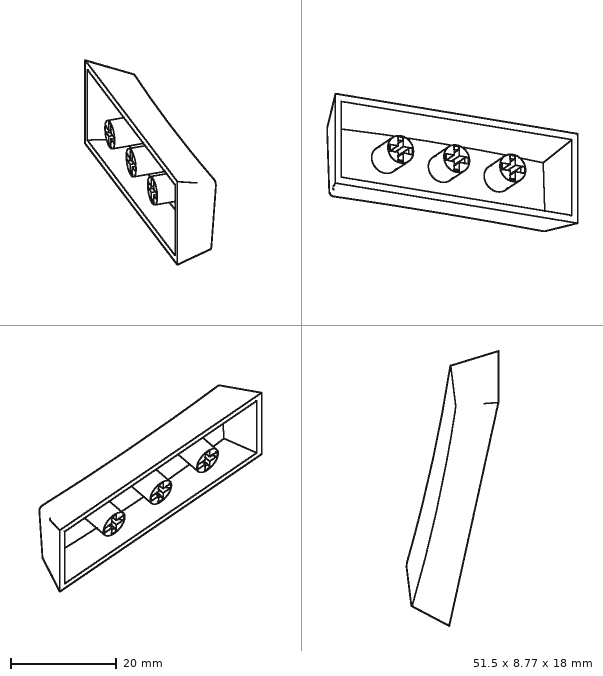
import cadquery as cq
import math

LENGTH = 51.5
WIDTH = 18.0

CROWN_LENGTH = 46.35
CROWN_TOP_EDGE = (8.8, 5.95)
CROWN_BOTTOM_EDGE = (7.8, -8.75)
CROWN_CORNER_RADIUS = 0.95
RIM_CORNER_RADIUS = 0.025
DISH_DEPTH = 0.65

END_WALL = 1.3
SIDE_WALL = 1.4
FLOOR_LENGTH = 44.3
FLOOR_TOP_EDGE = (7.55, 5.0)
FLOOR_BOTTOM_EDGE = (6.75, -7.5)

STEM_COUNT = 3
STEM_SPACING = 11.9
STEM_CENTER_Z = -0.05
STEM_RADIUS = 2.75
SOCKET_SPAN = 3.95
SOCKET_BAR_WIDTH = 1.3
SOCKET_POST_WIDTH = 1.15
SOCKET_BEVEL = 0.5

RIM_PLANE = cq.Plane(origin=(0, 0, 0), xDir=(1, 0, 0), normal=(0, -1, 0))


def rounded_rectangle(length, width, corner_radius):
    sketch = cq.Sketch().rect(length, width)
    if corner_radius > 0:
        sketch = sketch.vertices().fillet(corner_radius)
    return sketch


def tilted_plane(top_edge, bottom_edge):
    """Plane through two X-parallel edges, facing the rim, with local Y toward the top edge."""
    top_y, top_z = top_edge
    bottom_y, bottom_z = bottom_edge
    center = (0, (top_y + bottom_y) / 2, (top_z + bottom_z) / 2)
    return cq.Plane(origin=center, xDir=(1, 0, 0), normal=(0, bottom_z - top_z, top_y - bottom_y))


def dished_frustum(rim_size, rim_radius, end_length, top_edge, bottom_edge, end_radius=0.0):
    """Flat-sided taper from the rim to a tilted end face, which is dished along its length."""
    end_plane = tilted_plane(top_edge, bottom_edge)
    end_width = math.dist(top_edge, bottom_edge)
    rim = rounded_rectangle(*rim_size, rim_radius).moved(cq.Location(RIM_PLANE))
    end = rounded_rectangle(end_length, end_width, end_radius).moved(cq.Location(end_plane))
    frustum = cq.Workplane().placeSketch(rim, end).loft(ruled=True)

    dish_plane = cq.Plane(origin=end_plane.origin, xDir=(1, 0, 0), normal=end_plane.yDir)
    dish = (
        cq.Workplane(dish_plane)
        .moveTo(-end_length / 2, 0)
        .threePointArc((0, -DISH_DEPTH), (end_length / 2, 0))
        .close()
        .extrude(end_width, both=True)
    )
    return frustum.cut(dish)


def socket_slot(plane, width, depth):
    """Slot along the plane's X axis and down its -Y axis, with 45 degree lead-in at both ends."""
    half_span = SOCKET_SPAN / 2
    half_mouth = half_span + SOCKET_BEVEL
    return (
        cq.Workplane(plane)
        .polyline([
            (-half_mouth, 0),
            (half_mouth, 0),
            (half_span, -SOCKET_BEVEL),
            (half_span, -depth),
            (-half_span, -depth),
            (-half_span, -SOCKET_BEVEL),
        ])
        .close()
        .extrude(width / 2, both=True)
    )


def stem(center_x, depth):
    """Round post with a cross socket through its full depth."""
    center = (center_x, 0, STEM_CENTER_Z)
    bar_plane = cq.Plane(origin=center, xDir=(1, 0, 0), normal=(0, 0, -1))
    post_plane = cq.Plane(origin=center, xDir=(0, 0, 1), normal=(1, 0, 0))
    return (
        cq.Workplane(RIM_PLANE)
        .center(center_x, STEM_CENTER_Z)
        .circle(STEM_RADIUS)
        .extrude(-depth)
        .cut(socket_slot(bar_plane, SOCKET_BAR_WIDTH, depth))
        .cut(socket_slot(post_plane, SOCKET_POST_WIDTH, depth))
    )


body = dished_frustum(
    (LENGTH, WIDTH), RIM_CORNER_RADIUS,
    CROWN_LENGTH, CROWN_TOP_EDGE, CROWN_BOTTOM_EDGE, CROWN_CORNER_RADIUS,
)
cavity = dished_frustum(
    (LENGTH - 2 * END_WALL, WIDTH - 2 * SIDE_WALL), 0,
    FLOOR_LENGTH, FLOOR_TOP_EDGE, FLOOR_BOTTOM_EDGE,
)
result = body.cut(cavity)

stem_depth = max(FLOOR_TOP_EDGE[0], FLOOR_BOTTOM_EDGE[0])
for index in range(STEM_COUNT):
    stem_x = (index - (STEM_COUNT - 1) / 2) * STEM_SPACING
    result = result.union(stem(stem_x, stem_depth).intersect(cavity))